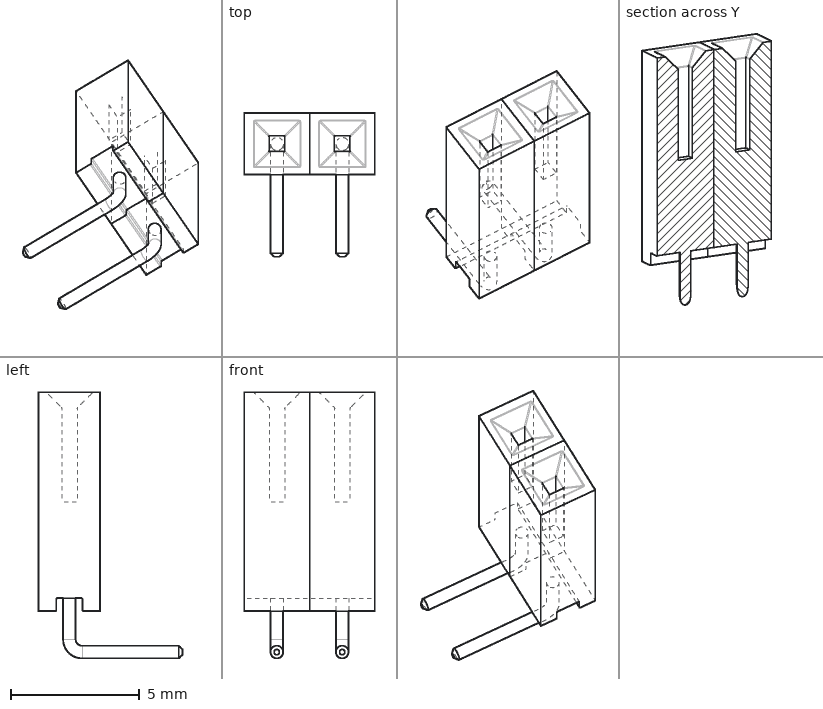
import cadquery as cq

CELL_COUNT = 2
TOTAL_WIDTH = 5.08
CELL_PITCH = TOTAL_WIDTH / CELL_COUNT
CELL_DEPTH = 2.4
CELL_HEIGHT = 8.51

EDGE_RADIUS = 0.05

MOUTH_SIDE = 1.8
SHAFT_SIDE = 0.6
FUNNEL_DEPTH = (MOUTH_SIDE - SHAFT_SIDE) / 2
FUNNEL_BOTTOM = CELL_HEIGHT - FUNNEL_DEPTH
SHAFT_BOTTOM = CELL_HEIGHT / 2

CHANNEL_WIDTH = 1.0
CHANNEL_DEPTH = 0.51

PIN_DIAMETER = 0.5
PIN_RADIUS = PIN_DIAMETER / 2
BEND_RADIUS = 0.5
PIN_BOTTOM = -1.84
PIN_AXIS_Z = PIN_BOTTOM + PIN_RADIUS
PIN_REACH = 3.2
PIN_TIP_Y = -CELL_DEPTH / 2 - PIN_REACH
TIP_CHAMFER = 0.15


def edges_near(width_x, width_y, bottom, top):
    """Select edges centred in a box around the Z axis, with a margin of one edge radius."""
    half_x = width_x / 2 + EDGE_RADIUS
    half_y = width_y / 2 + EDGE_RADIUS
    return cq.selectors.BoxSelector(
        (-half_x, -half_y, bottom - EDGE_RADIUS),
        (half_x, half_y, top + EDGE_RADIUS),
    )


def housing_block():
    """Plain block with the rounded channel along its underside."""
    block = cq.Workplane("XY").box(CELL_PITCH, CELL_DEPTH, CELL_HEIGHT, centered=(True, True, False))
    channel = cq.Workplane("XY").box(CELL_PITCH, CHANNEL_WIDTH, CHANNEL_DEPTH, centered=(True, True, False))
    channel_edges = edges_near(CELL_PITCH, CHANNEL_WIDTH, 0, CHANNEL_DEPTH)
    return block.cut(channel).edges("|X").edges(channel_edges).fillet(EDGE_RADIUS)


def cut_socket(block):
    """Cut the funnel and its shaft into the top, and round the edges of the funnel."""
    funnel = (
        cq.Workplane("XY", origin=(0, 0, FUNNEL_BOTTOM))
        .rect(SHAFT_SIDE, SHAFT_SIDE)
        .workplane(offset=FUNNEL_DEPTH)
        .rect(MOUTH_SIDE, MOUTH_SIDE)
        .loft(ruled=True)
    )
    shaft = (
        cq.Workplane("XY", origin=(0, 0, SHAFT_BOTTOM))
        .rect(SHAFT_SIDE, SHAFT_SIDE)
        .extrude(FUNNEL_BOTTOM - SHAFT_BOTTOM)
    )
    funnel_edges = edges_near(MOUTH_SIDE, MOUTH_SIDE, FUNNEL_BOTTOM, CELL_HEIGHT)
    return block.cut(funnel.union(shaft)).edges(funnel_edges).fillet(EDGE_RADIUS)


def bent_pin():
    """Round pin swept down, round the bend and out toward -Y, with a chamfered tip."""
    path = (
        cq.Workplane("YZ")
        .moveTo(0, CHANNEL_DEPTH)
        .lineTo(0, PIN_AXIS_Z + BEND_RADIUS)
        .tangentArcPoint((-BEND_RADIUS, PIN_AXIS_Z), relative=False)
        .lineTo(PIN_TIP_Y, PIN_AXIS_Z)
    )
    pin = cq.Workplane("XY", origin=(0, 0, CHANNEL_DEPTH)).circle(PIN_RADIUS).sweep(path)
    return pin.faces("<Y").chamfer(TIP_CHAMFER)


def contact_cell(center_x):
    """One complete cell: housing block, socket and pin as a single solid."""
    cell = cut_socket(housing_block()).union(bent_pin())
    return cell.translate((center_x, 0, 0))


first_center_x = (CELL_PITCH - TOTAL_WIDTH) / 2
contact_cells = [contact_cell(first_center_x + index * CELL_PITCH) for index in range(CELL_COUNT)]

result = cq.Compound.makeCompound([cell.solids().val() for cell in contact_cells])